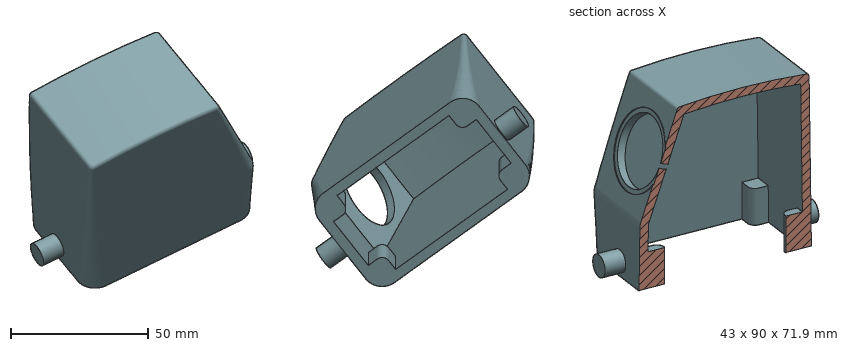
import cadquery as cq
import math

WIDTH = 43.0
HALF_LENGTH = 36.4
HEIGHT = 71.91
WALL_DRAFT = 0.8
ROOF_RADIUS = 280.0
ROOF_CROWN_Y = -7.5
ROOF_CORNER_STEPS = 20
WALL_THICKNESS = 3.8

SLOPE_ANGLE = 20.0
KNEE_HEIGHT = 26.7
KNEE_RADIUS = 8.0

ROOF_EDGE_RADIUS = 1.5
BOTTOM_CORNER_RADIUS = 7.5
KNEE_CORNER_RADIUS = 3.4
LINEAR = 1
QUADRATIC = 2
RADIUS_SAMPLES = 9

ENTRY_DIAMETER = 28.3
ENTRY_CENTRE_Y = 28.0
RECESS_DIAMETER = 32.0
RECESS_DEPTH = 0.4

PAD_SPACING_X = 27.0
PAD_SPACING_Y = 57.0
PAD_RADIUS = 3.0
PAD_HEIGHT = 15.0

PIN_DIAMETER = 9.0
PIN_HEIGHT = 6.2
PIN_SPAN = 90.0

DRAFT_TAN = math.tan(math.radians(WALL_DRAFT))
SLOPE_TAN = math.tan(math.radians(SLOPE_ANGLE))
KNEE_Y = HALF_LENGTH - KNEE_HEIGHT * DRAFT_TAN


def front_wall_y(z):
    return -HALF_LENGTH + z * DRAFT_TAN


def slope_y(z):
    return KNEE_Y - (z - KNEE_HEIGHT) * SLOPE_TAN


def slope_z(y):
    return KNEE_HEIGHT + (KNEE_Y - y) / SLOPE_TAN


def roof_corner(wall_y):
    """Point (y, z) where a wall line meets the roof arc, found by repeated substitution."""
    z = HEIGHT
    for _ in range(ROOF_CORNER_STEPS):
        from_crown = wall_y(z) - ROOF_CROWN_Y
        z = HEIGHT - ROOF_RADIUS + math.sqrt(ROOF_RADIUS**2 - from_crown**2)
    return wall_y(z), z


def side_outline():
    return (
        cq.Workplane("YZ")
        .moveTo(-HALF_LENGTH, 0)
        .lineTo(HALF_LENGTH, 0)
        .lineTo(KNEE_Y, KNEE_HEIGHT)
        .lineTo(*roof_corner(slope_y))
        .threePointArc((ROOF_CROWN_Y, HEIGHT), roof_corner(front_wall_y))
        .close()
    )


def is_roof_edge(edge):
    return edge.Center().z > roof_corner(front_wall_y)[1] - ROOF_EDGE_RADIUS


def is_corner_edge(edge):
    off_centre = abs(edge.Center().x) > WIDTH / 4
    climbs = abs(edge.startPoint().z - edge.endPoint().z) > ROOF_EDGE_RADIUS
    return off_centre and climbs and not is_roof_edge(edge)


def taper_of(edge):
    """Lower radius, upper radius and the power of the taper along one corner edge."""
    if edge.Center().y < 0:
        return BOTTOM_CORNER_RADIUS, ROOF_EDGE_RADIUS, QUADRATIC
    if edge.Center().z < KNEE_HEIGHT - KNEE_RADIUS:
        return BOTTOM_CORNER_RADIUS, KNEE_CORNER_RADIUS, LINEAR
    if edge.geomType() == "CIRCLE":
        return KNEE_CORNER_RADIUS, KNEE_CORNER_RADIUS, LINEAR
    return KNEE_CORNER_RADIUS, ROOF_EDGE_RADIUS, QUADRATIC


def height_fractions(bottom_first):
    """Pairs of position along an edge and the matching fraction of its rise."""
    for sample in range(RADIUS_SAMPLES):
        along = sample / (RADIUS_SAMPLES - 1)
        yield along, along if bottom_first else 1 - along


def set_taper(rounding, edge):
    """Give one corner edge its varying radius."""
    occ = cq.occ_impl.shapes
    chain = rounding.Contour(edge.wrapped)
    places = range(1, rounding.NbEdges(chain) + 1)
    place = next(number for number in places if rounding.Edge(chain, number).IsSame(edge.wrapped))
    ends = sorted(edge.Vertices(), key=lambda vertex: vertex.Z)
    start, finish = (rounding.RelativeAbscissa(chain, vertex.wrapped) for vertex in ends)
    lower, upper, power = taper_of(edge)
    radii = occ.TColgp_HArray1OfPnt2d(1, RADIUS_SAMPLES)
    for index, (along, height) in enumerate(height_fractions(start < finish), 1):
        radius = upper + (lower - upper) * (1 - height) ** power
        radii.SetValue(index, occ.gp_Pnt2d(along, radius))
    rounding.SetRadius(radii, chain, place)


def rounded_shell():
    """Solid hood with a rounded knee, rounded roof rim and tapering corners."""
    block = side_outline().extrude(WIDTH / 2, both=True)
    knee = cq.selectors.NearestToPointSelector((0, KNEE_Y, KNEE_HEIGHT))
    block = block.edges(knee).fillet(KNEE_RADIUS)
    edges = block.edges().vals()
    rounding = cq.occ_impl.shapes.BRepFilletAPI_MakeFillet(block.val().wrapped)
    for edge in filter(is_roof_edge, edges):
        rounding.Add(ROOF_EDGE_RADIUS, edge.wrapped)
    for edge in filter(is_corner_edge, edges):
        if rounding.Contour(edge.wrapped) == 0:
            rounding.Add(edge.wrapped)
        set_taper(rounding, edge)
    return cq.Workplane(cq.Shape.cast(rounding.Shape()))


def screw_pads():
    """Corner blocks with one rounded corner each, long enough to run into the walls."""
    pads = cq.Workplane()
    for side_x in (-1, 1):
        for side_y in (-1, 1):
            inner_x = side_x * (PAD_SPACING_X / 2 - PAD_RADIUS)
            inner_y = side_y * (PAD_SPACING_Y / 2 - PAD_RADIUS)
            pad = (
                cq.Workplane()
                .moveTo(inner_x, inner_y)
                .lineTo(side_x * WIDTH / 2, inner_y)
                .lineTo(side_x * WIDTH / 2, side_y * HALF_LENGTH)
                .lineTo(inner_x, side_y * HALF_LENGTH)
                .close()
                .extrude(PAD_HEIGHT)
            )
            inner_edge = cq.selectors.NearestToPointSelector((inner_x, inner_y, PAD_HEIGHT / 2))
            pads = pads.add(pad.edges(inner_edge).fillet(PAD_RADIUS))
    return pads.combine()


def cavity():
    """Hollow with an even wall, open at the bottom and leaving the screw pads standing."""
    hollow = side_outline().offset2D(-WALL_THICKNESS).extrude(WIDTH / 2 - WALL_THICKNESS, both=True)
    mouth = hollow.faces("<Z").wires().toPending().workplane().extrude(WALL_THICKNESS, combine=False)
    return hollow.union(mouth).cut(screw_pads())


def cable_entry():
    """Hole square to the sloping face, with a shallow recess around it."""
    slope = math.radians(SLOPE_ANGLE)
    face = cq.Plane(
        origin=(0, ENTRY_CENTRE_Y, slope_z(ENTRY_CENTRE_Y)),
        xDir=(1, 0, 0),
        normal=(0, math.cos(slope), math.sin(slope)),
    )
    hole = cq.Workplane(face).circle(ENTRY_DIAMETER / 2).extrude(-2 * WALL_THICKNESS)
    recess = cq.Workplane(face).circle(RECESS_DIAMETER / 2).extrude(-RECESS_DEPTH)
    return hole.union(recess)


def locking_pins():
    """One rod through the hood; hollowing the hood leaves a pin on the front and rear walls."""
    rod = cq.Workplane("XZ").center(0, PIN_HEIGHT).circle(PIN_DIAMETER / 2)
    return rod.extrude(PIN_SPAN / 2, both=True)


hood = rounded_shell().union(locking_pins())
result = hood.cut(cavity()).cut(cable_entry())